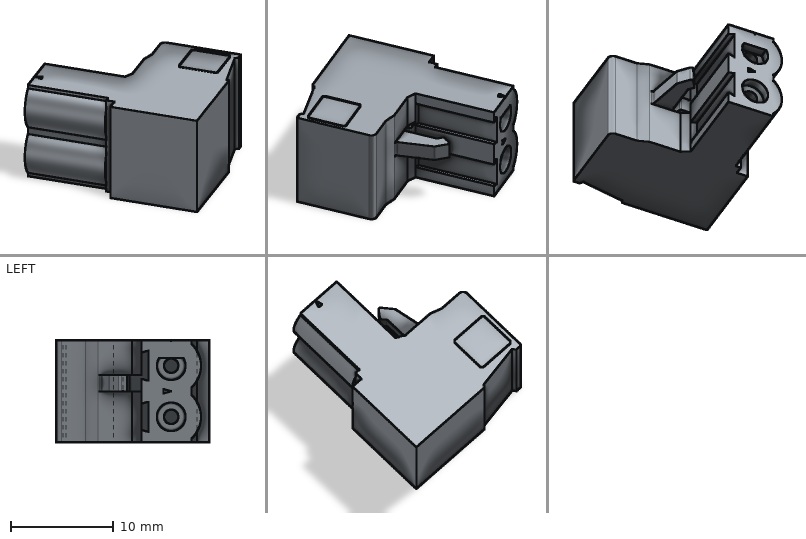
import cadquery as cq


LENGTH = 18.2
DEPTH = 15.0
HEIGHT = 10.0

PITCH = HEIGHT / 2
POLE_HEIGHTS = (PITCH / 2, 3 * PITCH / 2)
UPPER_POLE_Z = POLE_HEIGHTS[1]
AXIS_Y = 3.74
BARREL_RADIUS = 2.92
PLUG_LENGTH = 8.33
PLUG_FLOOR_Y = 1.74
PLUG_TOP_Y = 6.66

MOUTH_RADIUS = 1.4
MOUTH_DEPTH = 1.0
BORE_RADIUS = 0.7
KEY_FLAT_OFFSET = 0.73

GROOVE_DEPTH = 0.68
GROOVE_FLOOR_WIDTH = 2.94
GROOVE_MOUTH_WIDTH = 2.56

NECK_BASE_Y = 1.2
HOUSING_X = 9.19
HOUSING_TOP_FILLET = 0.55
WALL_X = 8.8
WALL_BOTTOM_Y = 7.55
WALL_TOP_Y = 10.9
SLANT_TOP_Y = 12.11
LIP_X = 17.42
LIP_BOTTOM_Y = 14.3
LIP_FILLET = 0.12
NOTCH_X = 17.09
NOTCH_Y = 14.05
LEDGE_X = 17.92
LEDGE_Y = 9.38
LEDGE_FILLET = 0.2

LATCH_BOTTOM_Z = 5.0
LATCH_THICKNESS = 1.6
LATCH_UNDERSIDE_Y = 8.45
LATCH_ROOT_X = 9.0
LATCH_ROOT_TOP_Y = 10.55
LATCH_SHOULDER = (4.99, 9.81)
LATCH_TIP = (3.72, 8.74)
LATCH_HOOK = (4.78, 7.98)
LATCH_HOOK_HEEL_X = 5.28
LATCH_EDGE_FILLET = 0.2
LATCH_ROOT_FILLET = 0.22
ROOT_RELIEF_RADIUS = 0.32
RIB_FILLET = 0.14
RIB_TOP_Y = LATCH_UNDERSIDE_Y - 2 * ROOT_RELIEF_RADIUS

LABEL_SIZE = 4.03
LABEL_CENTER = (14.51, 12.5)
LABEL_CORNER_RADIUS = 0.25
LABEL_DEPTH = 0.1

MARKER_LENGTH = 0.75
MARKER_WIDTH = 0.42
MARKER_DEPTH = 0.1


def round_edges(solid, rounded_edges, mid_height):
    """Fillet edges parallel to Z, each given as ((x, y), radius)."""
    for (x, y), radius in rounded_edges:
        edge = cq.selectors.NearestToPointSelector((x, y, mid_height))
        solid = solid.edges("|Z").edges(edge).fillet(radius)
    return solid


def make_housing():
    """Angled housing, including the rectangular part of the plug."""
    outline = [
        (0, PLUG_FLOOR_Y),
        (PLUG_LENGTH, PLUG_FLOOR_Y),
        (PLUG_LENGTH, NECK_BASE_Y),
        (HOUSING_X, NECK_BASE_Y),
        (HOUSING_X, 0),
        (LENGTH, 0),
        (LENGTH, LEDGE_Y),
        (LEDGE_X, LEDGE_Y),
        (NOTCH_X, NOTCH_Y),
        (LIP_X, LIP_BOTTOM_Y),
        (LIP_X, DEPTH),
        (HOUSING_X, DEPTH),
        (HOUSING_X, SLANT_TOP_Y),
        (WALL_X, WALL_TOP_Y),
        (WALL_X, WALL_BOTTOM_Y),
        (PLUG_LENGTH, PLUG_TOP_Y),
        (0, PLUG_TOP_Y),
    ]
    housing = cq.Workplane("XY").polyline(outline).close().extrude(HEIGHT)
    rounded_edges = (
        ((HOUSING_X, DEPTH), HOUSING_TOP_FILLET),
        ((LIP_X, DEPTH), LIP_FILLET),
        ((LENGTH, LEDGE_Y), LEDGE_FILLET),
    )
    return round_edges(housing, rounded_edges, HEIGHT / 2)


def make_barrel(z):
    """Round underside of one pole, running the length of the plug."""
    barrel = cq.Workplane("YZ").center(AXIS_Y, z).circle(BARREL_RADIUS).extrude(PLUG_LENGTH)
    lower_part = cq.Workplane("XY").box(PLUG_LENGTH, AXIS_Y, HEIGHT, centered=False)
    return barrel.intersect(lower_part)


def make_mouth(z):
    """Wide entry of a contact opening."""
    return cq.Workplane("YZ").center(AXIS_Y, z).circle(MOUTH_RADIUS).extrude(MOUTH_DEPTH)


def make_bore(z):
    """Narrow bore that continues from the entry to the shoulder."""
    return cq.Workplane("YZ").center(AXIS_Y, z).circle(BORE_RADIUS).extrude(PLUG_LENGTH)


def make_keyed_mouth(z):
    """Entry of a contact opening with a flat on its upper side."""
    below_flat = cq.Workplane("XY").box(LENGTH, DEPTH, z + KEY_FLAT_OFFSET, centered=False)
    return make_mouth(z).intersect(below_flat)


def make_coding_groove(z):
    """Dovetail groove along the top of the plug."""
    floor_y = PLUG_TOP_Y - GROOVE_DEPTH
    outline = [
        (PLUG_TOP_Y, z - GROOVE_MOUTH_WIDTH / 2),
        (floor_y, z - GROOVE_FLOOR_WIDTH / 2),
        (floor_y, z + GROOVE_FLOOR_WIDTH / 2),
        (PLUG_TOP_Y, z + GROOVE_MOUTH_WIDTH / 2),
    ]
    return cq.Workplane("YZ").polyline(outline).close().extrude(PLUG_LENGTH)


def make_latch():
    """Hooked latch arm with the rib and the rounded gap at its root."""
    relief_x = WALL_X - ROOT_RELIEF_RADIUS
    heel = (LATCH_HOOK_HEEL_X, LATCH_UNDERSIDE_Y)
    latch = (
        cq.Workplane("XY", origin=(0, 0, LATCH_BOTTOM_Z))
        .moveTo(LATCH_ROOT_X, WALL_TOP_Y)
        .lineTo(WALL_X, WALL_TOP_Y)
        .lineTo(WALL_X, LATCH_ROOT_TOP_Y)
        .lineTo(*LATCH_SHOULDER)
        .lineTo(*LATCH_TIP)
        .lineTo(*LATCH_HOOK)
        .lineTo(*heel)
        .lineTo(relief_x, LATCH_UNDERSIDE_Y)
        .threePointArc((WALL_X, LATCH_UNDERSIDE_Y - ROOT_RELIEF_RADIUS), (relief_x, RIB_TOP_Y))
        .lineTo(PLUG_LENGTH, RIB_TOP_Y)
        .lineTo(PLUG_LENGTH, PLUG_TOP_Y)
        .lineTo(LATCH_ROOT_X, PLUG_TOP_Y)
        .close()
        .extrude(LATCH_THICKNESS)
    )
    rounded_edges = (
        ((WALL_X, LATCH_ROOT_TOP_Y), LATCH_ROOT_FILLET),
        (LATCH_SHOULDER, LATCH_EDGE_FILLET),
        (LATCH_TIP, LATCH_EDGE_FILLET),
        (LATCH_HOOK, LATCH_EDGE_FILLET),
        (heel, LATCH_EDGE_FILLET),
        ((PLUG_LENGTH, RIB_TOP_Y), RIB_FILLET),
    )
    return round_edges(latch, rounded_edges, LATCH_BOTTOM_Z + LATCH_THICKNESS / 2)


def make_label_recess():
    """Shallow square recess with rounded corners."""
    return (
        cq.Workplane("XY", origin=(*LABEL_CENTER, HEIGHT - LABEL_DEPTH))
        .rect(LABEL_SIZE, LABEL_SIZE)
        .extrude(LABEL_DEPTH)
        .edges("|Z")
        .fillet(LABEL_CORNER_RADIUS)
    )


def make_side_marker():
    """Triangle in the upper side wall, pointing at the plug face."""
    outline = [
        (0, AXIS_Y),
        (MARKER_LENGTH, AXIS_Y - MARKER_WIDTH / 2),
        (MARKER_LENGTH, AXIS_Y + MARKER_WIDTH / 2),
    ]
    plane = cq.Workplane("XY", origin=(0, 0, HEIGHT - MARKER_DEPTH))
    return plane.polyline(outline).close().extrude(MARKER_DEPTH)


def make_face_marker():
    """Triangle in the plug face, midway between the two poles."""
    base_y = AXIS_Y + MARKER_LENGTH
    outline = [
        (AXIS_Y, PITCH),
        (base_y, PITCH - MARKER_WIDTH / 2),
        (base_y, PITCH + MARKER_WIDTH / 2),
    ]
    return cq.Workplane("YZ").polyline(outline).close().extrude(MARKER_DEPTH)


body = make_housing().union(make_latch())
for pole_z in POLE_HEIGHTS:
    body = body.union(make_barrel(pole_z))

for pole_z in POLE_HEIGHTS:
    if pole_z == UPPER_POLE_Z:
        mouth = make_keyed_mouth(pole_z)
    else:
        mouth = make_mouth(pole_z)
    body = body.cut(make_bore(pole_z)).cut(mouth).cut(make_coding_groove(pole_z))

body = body.cut(make_label_recess())
body = body.cut(make_side_marker())
result = body.cut(make_face_marker())